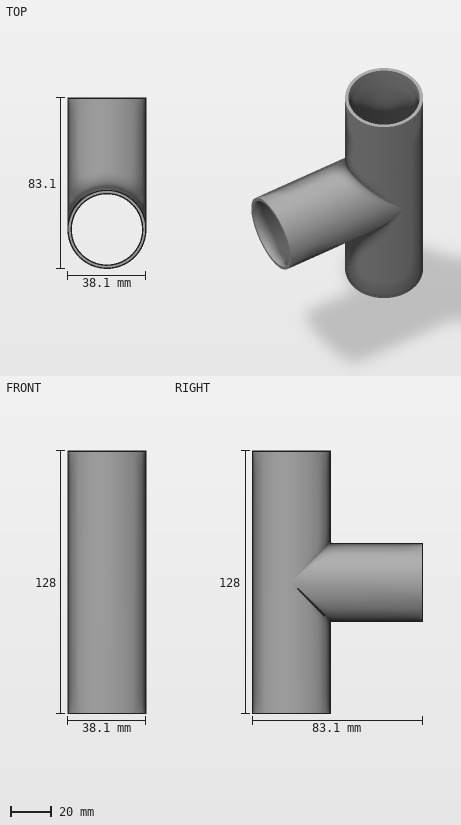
import cadquery as cq

OUTER_DIAMETER = 38.1
INNER_DIAMETER = 34.8
CENTRE_TO_END = 64.0
WELD_FILLET_RADIUS = 0.5


def tee(diameter):
    """Solid tee: a run centred on the origin joined to a branch of equal diameter."""
    radius = diameter / 2
    run = cq.Workplane("XY").circle(radius).extrude(CENTRE_TO_END, both=True)
    branch = cq.Workplane("XZ").circle(radius).extrude(-CENTRE_TO_END)
    return run.union(branch)


def tee_body():
    """Outer tee with a small fillet along the elliptical seams where run and branch meet."""
    return tee(OUTER_DIAMETER).edges("%ELLIPSE").fillet(WELD_FILLET_RADIUS)


result = tee_body().cut(tee(INNER_DIAMETER))